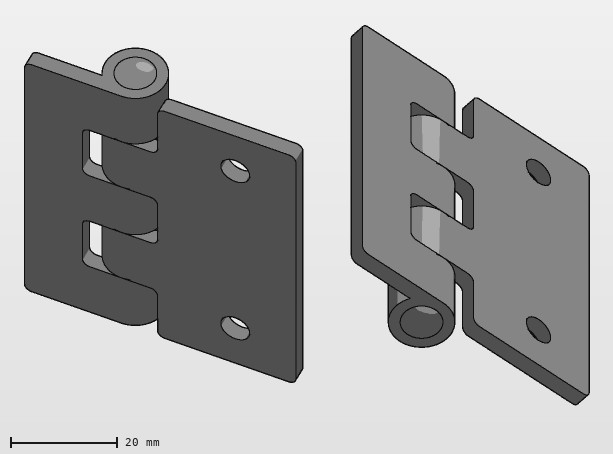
import cadquery as cq


total_height = 68.0
total_width = 56.0
barrel_diameter = 12.5
pin_diameter = 8.0
dome_height = 1.5
plate_thickness = 3.2
knuckle_count = 5
left_reach = 20.0
left_notch_reach = 8.0
right_notch_reach = 7.5
corner_radius = 1.5
hole_diameter = 6.0
hole_spacing = 45.0
hole_reach = 23.5

leaf_height = total_height - 2 * dome_height
knuckle_height = leaf_height / knuckle_count
right_reach = total_width - left_reach
barrel_radius = barrel_diameter / 2
pin_radius = pin_diameter / 2
plate_front = -barrel_radius

left_knuckles = range(0, knuckle_count, 2)
right_knuckles = range(1, knuckle_count, 2)


def knuckle_base(index):
    """Z of the lower end of a knuckle, counted from the bottom."""
    return -leaf_height / 2 + index * knuckle_height


def block(x_start, x_end, z_base, height):
    """Flat block of plate thickness, flush with the front of the barrel."""
    return cq.Workplane("XY").box(
        x_end - x_start, plate_thickness, height, centered=False
    ).translate((x_start, plate_front, z_base))


def make_leaf(side, reach, notch_reach, own_knuckles, other_knuckles):
    """Leaf extending towards side (-1 for -X, +1 for +X), with its knuckles."""
    x_start, x_end = sorted((0, side * reach))
    leaf = block(x_start, x_end, -leaf_height / 2, leaf_height)

    notch_start, notch_end = sorted((0, side * notch_reach))
    for index in other_knuckles:
        leaf = leaf.cut(block(notch_start, notch_end, knuckle_base(index), knuckle_height))

    outer_edge = ">X" if side > 0 else "<X"
    leaf = leaf.faces(outer_edge).edges("|Y").fillet(corner_radius)
    notch_wall = cq.selectors.BoxSelector(
        (side * notch_reach - corner_radius, plate_front - plate_thickness, -leaf_height),
        (side * notch_reach + corner_radius, 0, leaf_height),
    )
    leaf = leaf.edges(notch_wall).edges("|Y").fillet(corner_radius)

    for index in own_knuckles:
        barrel_plane = cq.Workplane("XY", origin=(0, 0, knuckle_base(index)))
        leaf = leaf.union(barrel_plane.circle(barrel_radius).extrude(knuckle_height))
    bore = cq.Workplane("XY").circle(pin_radius).extrude(leaf_height / 2, both=True)
    return leaf.cut(bore)


def drill_screw_holes(leaf):
    """Plain through holes in the free part of the leaf."""
    holes = (
        cq.Workplane("XZ", origin=(0, plate_front + plate_thickness, 0))
        .pushPoints([(hole_reach, side * hole_spacing / 2) for side in (-1, 1)])
        .circle(hole_diameter / 2)
        .extrude(plate_thickness)
    )
    return leaf.cut(holes)


def make_pin():
    """Straight pin with a shallow spherical dome at each end."""
    dome_radius = (pin_radius**2 + dome_height**2) / (2 * dome_height)
    shoulder = leaf_height / 2
    tip = total_height / 2
    mid_rise = (dome_radius**2 - (pin_radius / 2) ** 2) ** 0.5
    dome_mid = (pin_radius / 2, tip - dome_radius + mid_rise)
    return (
        cq.Workplane("XZ")
        .moveTo(0, -tip)
        .threePointArc((dome_mid[0], -dome_mid[1]), (pin_radius, -shoulder))
        .lineTo(pin_radius, shoulder)
        .threePointArc(dome_mid, (0, tip))
        .close()
        .revolve(360, (0, 0, 0), (0, 1, 0))
    )


left_leaf = make_leaf(-1, left_reach, left_notch_reach, left_knuckles, right_knuckles)
right_leaf = make_leaf(1, right_reach, right_notch_reach, right_knuckles, left_knuckles)
right_leaf = drill_screw_holes(right_leaf)
pin = make_pin()

result = cq.Compound.makeCompound(
    [left_leaf.solids().val(), right_leaf.solids().val(), pin.val()]
)